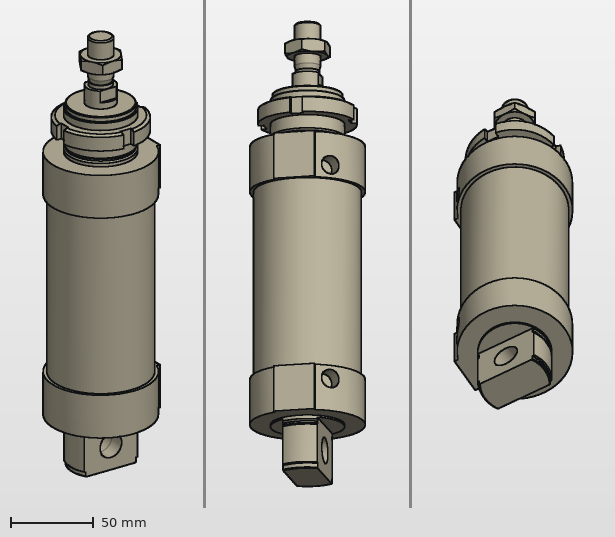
import cadquery as cq
import math


total_height = 284.2
tail_cap_bottom = 33.0
cap_height = 28.5
head_cap_top = 207.5
neck_top = 240.1
shank_top = 252.0
thread_bottom = 258.0

cap_diameter = 70.0
barrel_diameter = 65.5
pad_width = 25.0
port_diameter = 11.5
port_depth = 11.5
port_inset = 8.2
port_angle = 127.0

neck_diameter = 45.0
neck_tip_diameter = 43.0
neck_tip_length = 3.0
neck_edge_chamfer = 0.5
groove_diameter = 43.0
groove_start = 2.3
groove_width = 3.5
groove_floor_width = 1.0

eye_thickness = 21.5
eye_collar_length = 1.0
eye_hole_diameter = 16.0
eye_hole_height = 16.2

rod_diameter = 20.0
rod_flats_width = 16.0
rod_flats_length = 7.7
thread_diameter = 16.0
thread_chamfer = 1.0
relief_diameter = 14.0
relief_collar_diameter = 15.0
relief_collar_length = 2.5

lock_nut_bottom = 264.0
lock_nut_height = 8.0
lock_nut_width = 24.7
lock_nut_corner_diameter = lock_nut_width / math.cos(math.radians(30))
lock_nut_chamfer_angle = 25.0

ring_nut_bottom = 221.5
ring_nut_height = 10.2
ring_nut_diameter = 60.0
ring_nut_chamfer_width = 2.3
ring_nut_chamfer_height = 1.0
ring_nut_slot_count = 4
ring_nut_slot_width = 7.7
ring_nut_slot_floor = 26.5

tail_cap_top = tail_cap_bottom + cap_height
head_cap_bottom = head_cap_top - cap_height


def cylinder(diameter, bottom, top):
    return cq.Workplane("XY").workplane(offset=bottom).circle(diameter / 2).extrude(top - bottom)


def box(x_size, y_size, bottom, top):
    return cq.Workplane("XY").workplane(offset=bottom).rect(x_size, y_size).extrude(top - bottom)


def revolve_profile(points):
    """Solid of revolution about Z from (radius, height) points."""
    return cq.Workplane("XZ").polyline(points).close().revolve(360, (0, 0), (0, 1))


def make_neck(length):
    """Grooved neck rising from Z = 0, with a narrower tip."""
    radius = neck_diameter / 2
    tip_radius = neck_tip_diameter / 2
    shoulder = length - neck_tip_length
    floor_radius = groove_diameter / 2
    groove_middle = groove_start + groove_width / 2
    return revolve_profile([
        (0, 0),
        (radius, 0),
        (radius, groove_start),
        (floor_radius, groove_middle - groove_floor_width / 2),
        (floor_radius, groove_middle + groove_floor_width / 2),
        (radius, groove_start + groove_width),
        (radius, shoulder - neck_edge_chamfer),
        (tip_radius, shoulder),
        (tip_radius, length - neck_edge_chamfer),
        (tip_radius - neck_edge_chamfer, length),
        (0, length),
    ])


def make_cap(bottom):
    """End cap with a flat connection pad on +Y."""
    top = bottom + cap_height
    pad = box(pad_width, cap_diameter / 2, bottom, top).translate((0, cap_diameter / 4, 0))
    return cylinder(cap_diameter, bottom, top).union(pad)


def make_port(height):
    """Cutter for a blind radial side port."""
    angle = math.radians(port_angle)
    outward = cq.Vector(math.cos(angle), math.sin(angle), 0)
    floor = outward * (cap_diameter / 2 - port_depth) + cq.Vector(0, 0, height)
    return cq.Workplane(cq.Solid.makeCylinder(port_diameter / 2, 2 * port_depth, floor, outward))


def make_eye():
    """Rear neck cut to a flat tongue, with a cross hole for the pivot pin."""
    neck = make_neck(tail_cap_bottom)
    neck = neck.rotate((0, 0, 0), (1, 0, 0), 180).translate((0, 0, tail_cap_bottom))
    tongue = box(eye_thickness, neck_diameter, 0, tail_cap_bottom)
    collar = box(neck_diameter, neck_diameter, tail_cap_bottom - eye_collar_length, tail_cap_bottom)
    pin_hole = (
        cq.Workplane("YZ")
        .center(0, eye_hole_height)
        .circle(eye_hole_diameter / 2)
        .extrude(eye_thickness, both=True)
    )
    return neck.intersect(tongue.union(collar)).cut(pin_hole)


def make_housing():
    head_neck = make_neck(neck_top - head_cap_top).translate((0, 0, head_cap_top))
    rod_bore = cylinder(rod_diameter, head_cap_bottom, neck_top)
    return (
        cylinder(barrel_diameter, tail_cap_bottom, head_cap_top)
        .union(make_cap(tail_cap_bottom))
        .union(make_cap(head_cap_bottom))
        .union(head_neck)
        .union(make_eye())
        .cut(make_port(tail_cap_top - port_inset))
        .cut(make_port(head_cap_bottom + port_inset))
        .cut(rod_bore)
    )


def make_rod():
    thread_radius = thread_diameter / 2
    collar_radius = relief_collar_diameter / 2
    relief_radius = relief_diameter / 2
    collar_top = shank_top + relief_collar_length
    rod = revolve_profile([
        (0, head_cap_bottom),
        (rod_diameter / 2, head_cap_bottom),
        (rod_diameter / 2, shank_top),
        (collar_radius, shank_top),
        (collar_radius, collar_top),
        (relief_radius, collar_top),
        (thread_radius, thread_bottom),
        (thread_radius, total_height - thread_chamfer),
        (thread_radius - thread_chamfer, total_height),
        (0, total_height),
    ])
    flats_bottom = shank_top - rod_flats_length
    flats = box(2 * rod_diameter, 2 * rod_diameter, flats_bottom, shank_top)
    flats = flats.cut(box(rod_flats_width, 2 * rod_diameter, flats_bottom, shank_top))
    return rod.cut(flats)


def make_lock_nut():
    """Hexagon with flats on +X and -X and corners turned off at both faces."""
    top = lock_nut_bottom + lock_nut_height
    corner_radius = lock_nut_corner_diameter / 2
    face_radius = lock_nut_width / 2
    drop = (corner_radius - face_radius) * math.tan(math.radians(lock_nut_chamfer_angle))
    hexagon = (
        cq.Workplane("XY")
        .workplane(offset=lock_nut_bottom)
        .polygon(6, lock_nut_corner_diameter)
        .extrude(lock_nut_height)
        .rotate((0, 0, 0), (0, 0, 1), 30)
    )
    turned_blank = revolve_profile([
        (0, lock_nut_bottom),
        (face_radius, lock_nut_bottom),
        (corner_radius, lock_nut_bottom + drop),
        (corner_radius, top - drop),
        (face_radius, top),
        (0, top),
    ])
    return hexagon.intersect(turned_blank).cut(cylinder(thread_diameter, lock_nut_bottom, top))


def make_ring_nut():
    top = ring_nut_bottom + ring_nut_height
    radius = ring_nut_diameter / 2
    nut = revolve_profile([
        (neck_diameter / 2, ring_nut_bottom),
        (radius, ring_nut_bottom),
        (radius, top - ring_nut_chamfer_height),
        (radius - ring_nut_chamfer_width, top),
        (neck_diameter / 2, top),
    ])
    slot_depth = radius - ring_nut_slot_floor
    slot = box(2 * slot_depth, ring_nut_slot_width, ring_nut_bottom, top).translate((radius, 0, 0))
    for index in range(ring_nut_slot_count):
        angle = index * 360 / ring_nut_slot_count
        nut = nut.cut(slot.rotate((0, 0, 0), (0, 0, 1), angle))
    return nut


housing = make_housing().solids()
rod = make_rod().solids()
lock_nut = make_lock_nut().solids()
ring_nut = make_ring_nut().solids()

result = cq.Compound.makeCompound([housing.val(), rod.val(), lock_nut.val(), ring_nut.val()])